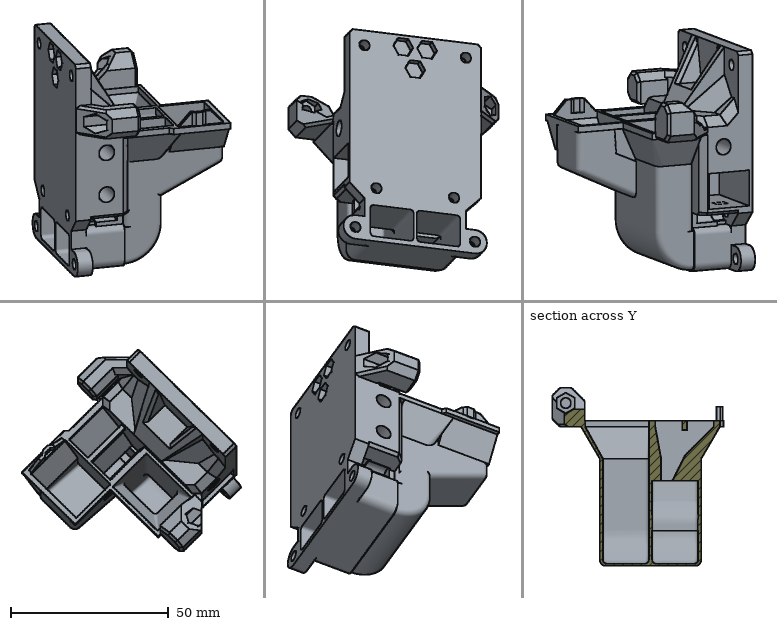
import cadquery as cq
import math

PLATE_HALF_WIDTH = 22.05
PLATE_HEIGHT = 71.0
PLATE_THICKNESS = 5.0
PLATE_CORNER_CHAMFER = 1.1
NECK_HALF_WIDTH = 17.0
NECK_TOP_Z = 14.1
SHOULDER_Z = 19.0
EAR_RADIUS = 4.0
EAR_CENTRE_X = 20.05
PLATE_HOLE_DIAMETER = 3.4
UPPER_HOLE_X, UPPER_HOLE_Z = 17.0, 66.0
LOWER_HOLE_X, LOWER_HOLE_Z = 13.0, 18.05

NUT_ACROSS_FLATS = 5.7
NUT_CORNER_DIAMETER = NUT_ACROSS_FLATS / math.cos(math.pi / 6)
NUT_POCKET_DEPTH = 2.5
NUT_POCKET_SITES = [(-4.0, 67.05), (4.0, 67.05), (0.0, 60.0)]

BOX_BACK_Y = 17.85
BOX_TOP_Z = 50.65
BOX_SIDE_CHAMFER = 3.1
BOX_BACK_CHAMFER = 2.1
BOX_FOOT_CHAMFER = 1.0
RAMP_LENGTH = 5.0
RAMP_SIDE_DROP = 4.2
ROD_HOLE_DIAMETER = 5.1
ROD_HOLE_Y = 10.2
ROD_HOLE_Z = (26.9, 40.85)
SIDE_POCKET_Y = (1.2, 15.25)
SIDE_POCKET_Z = (21.1, 32.6)
SIDE_POCKET_DEPTH = 22.0

GUSSET_BACK_HALF_WIDTH = 6.2
GUSSET_FRONT_HALF_WIDTH = 11.9
FLANK_TOP_Z = 62.05
FLANK_FOOT_HALF_WIDTH = 21.1
FLANK_BACK_HALF_WIDTH, FLANK_BACK_Y = 6.7, 16.7
RECESS_FLOOR_Z = 56.9
RECESS_HALF_WIDTH = 5.0
RECESS_SIDE_LEAN = 2.6
RECESS_RIM_Z = 69.0
RECESS_BACK_Y = 13.9
RECESS_BACK_HALF_WIDTH = 6.05
RECESS_CORNER_Y = 12.6
RECESS_FRONT_HALF_WIDTH = 9.0

FOOT_TOP_FILLET = 2.05
FOOT_BOTTOM_FILLET = 3.0
WAIST_HALF_WIDTH = NECK_HALF_WIDTH - FOOT_TOP_FILLET
NUT_SLOT_BACK_Y = 9.0
SCREW_BORE_BACK_Y = 16.0
SCREW_BORE_DIAMETER = 5.1

CHUTE_INNER_X = 0.55
CHUTE_OUTER_X = 15.05
CHUTE_DEPTH = 10.6
CHUTE_WALL = 1.1
CHUTE_CORNER = 1.2
CHUTE_SHELL_CORNER = 2.0
BEND_Y = 18.9
BEND_Z = 12.2
CHUTE_TOP_Z = 35.0

RIM_BOTTOM_Z, RIM_TOP_Z = 45.1, 47.1
FUNNEL_BACK_Y = 35.2
FUNNEL_HALF_WIDTH = PLATE_HALF_WIDTH
FUNNEL_WALL_X = 1.4
FUNNEL_TOP_CORNER = 0.2
FUNNEL_MOUTH_BACK_Y = 34.0

FEED_X = (1.55, 20.0)
FEED_BACK_Y = 33.0
FEED_THROAT_X = (3.4, 6.9)
FEED_THROAT_Z = 28.0
FEED_KNEE_X, FEED_KNEE_Z = 10.9, 36.0
FEED_RIB_X = (10.0, 11.6)
FEED_RIB_DEPTH = 3.0

HOPPER_LEFT_X, HOPPER_RIGHT_X = -0.65, 23.15
HOPPER_BACK_Y = 51.0
HOPPER_BACK_WALL = 1.7
HOPPER_MOUTH_X = (0.55, 20.85)
HOPPER_LIP_Y = 26.2
HOPPER_LIP_RADIUS = 7.8
HOPPER_FLOOR_BACK_Z = 31.9
HOPPER_FLOOR_SLOPE = 0.472
HOPPER_FLOOR_LIFT = 1.3
HOPPER_CORNER = 2.0
HOPPER_SIDE_FOOT_Z = 37.0
HOPPER_RIM_LEAD_Y = 31.0
HOPPER_RELIEF_FRONT_Y, HOPPER_RELIEF_FRONT_Z = 30.6, 34.2
HOPPER_RELIEF_BACK_Y, HOPPER_RELIEF_BACK_Z = 37.6, 37.3
HOPPER_RELIEF_TOP_Y = 38.1
HOPPER_RELIEF_DEPTH = 0.5

TAB_FOOT_Y = (34.3, 49.0)
TAB_TOP_Y = (38.45, 44.75)
TAB_TOP_Z = 51.55
GROOVE_MOUTH_Y = (38.6, 43.1)
GROOVE_FLOOR_Y = (39.7, 41.9)
GROOVE_DEPTH = 0.85
TAB_THICKNESS = 1.2

ARM_TIP_X = 31.15
ARM_TOP_Z = 57.5
ARM_CHAMFER = 2.5
ARM_END_CHAMFER = 0.9
ARM_HOLE_X, ARM_HOLE_Z = 26.85, 52.65
ARM_HOLE_DIAMETER = 3.3
ARM_END_WALL = 2.0
ARM_NUT_TURN = 30
LEFT_ARM_BACK_Y = 34.0
LEFT_ARM_ROOT_X = 20.8
LEFT_ARM_CORNER_Y = 24.8
LEFT_ARM_SLOPE_TOP_Y = 27.9
LEFT_ARM_NUT_FLOOR_Y = 28.0
RIGHT_ARM_BACK_Y = 18.8
RIGHT_ARM_BOTTOM_Z = 47.8
RIGHT_ARM_INNER_X = 22.6
RIGHT_ARM_CORNER_Y = 9.2
RIGHT_ARM_ROOT_X = 19.3
RIGHT_ARM_NUT_FLOOR_Y = 12.0
LINK_CHAMFER = 1.8


def box(x_range, y_range, z_range):
    """Axis-aligned block between pairs of limits."""
    size = [high - low for low, high in (x_range, y_range, z_range)]
    corner = (x_range[0], y_range[0], z_range[0])
    return cq.Workplane("XY").box(*size, centered=False).translate(corner)


def extrude_xz(points, y_start, y_end):
    """Extrude an (x, z) outline along Y."""
    return cq.Workplane("XZ", origin=(0, y_start, 0)).polyline(points).close().extrude(y_start - y_end)


def extrude_yz(points, x_start, x_end):
    """Extrude a (y, z) outline along X."""
    return cq.Workplane("YZ", origin=(x_start, 0, 0)).polyline(points).close().extrude(x_end - x_start)


def extrude_xy(points, z_start, z_end):
    """Extrude an (x, y) outline along Z."""
    return cq.Workplane("XY", origin=(0, 0, z_start)).polyline(points).close().extrude(z_end - z_start)


def rod_along_y(x, z, diameter, y_start, y_end):
    return cq.Workplane("XZ", origin=(x, y_start, z)).circle(diameter / 2).extrude(y_start - y_end)


def hexagon_along_y(x, z, y_start, y_end, turn=0):
    """Hexagonal nut shape with corners to the sides, rolled by turn degrees."""
    prism = cq.Workplane("XZ", origin=(x, y_start, z)).polygon(6, NUT_CORNER_DIAMETER)
    return prism.extrude(y_start - y_end).rotate((x, 0, z), (x, 1, z), turn)


def polyhedron(faces):
    """Solid bounded by flat faces, each given by its corner points."""
    skins = []
    for corners in faces:
        wire = cq.Wire.makePolygon([cq.Vector(*c) for c in corners], close=True)
        skins.append(cq.Face.makeFromWires(wire))
    return cq.Workplane(cq.Solid.makeSolid(cq.Shell.makeShell(skins)))


def ruled_between(first, second):
    """Straight-sided solid between two outlines of matching 3D points."""
    wires = []
    for outline in (first, second):
        wires.append(cq.Wire.makePolygon([cq.Vector(*p) for p in outline], close=True))
    return cq.Workplane(cq.Solid.makeLoft(wires, True))


def mirrored(points):
    """Complete a left-to-right outline that is symmetric about x = 0."""
    return points + [(-x, z) for x, z in reversed(points)]


def make_plate():
    half = PLATE_HALF_WIDTH
    outline = mirrored([
        (-NECK_HALF_WIDTH, 0),
        (-NECK_HALF_WIDTH, NECK_TOP_Z),
        (-half, SHOULDER_Z),
        (-half, PLATE_HEIGHT - PLATE_CORNER_CHAMFER),
        (-half + PLATE_CORNER_CHAMFER, PLATE_HEIGHT),
    ])
    plate = extrude_xz(outline, 0, PLATE_THICKNESS)
    ear_span = (-EAR_CENTRE_X, EAR_CENTRE_X)
    plate = plate.union(box(ear_span, (0, PLATE_THICKNESS), (0, 2 * EAR_RADIUS)))
    for x in ear_span:
        plate = plate.union(rod_along_y(x, EAR_RADIUS, 2 * EAR_RADIUS, 0, PLATE_THICKNESS))
    return plate


def make_main_box():
    half = PLATE_HALF_WIDTH

    def plan(inset, z):
        """Outline with bevelled back corners, its sides pulled in by inset."""
        outline = mirrored([
            (-half + inset, PLATE_THICKNESS),
            (-half + inset, BOX_BACK_Y - BOX_BACK_CHAMFER),
            (-half + inset + BOX_BACK_CHAMFER, BOX_BACK_Y),
        ])
        return [(x, y, z) for x, y in outline]

    sill = SHOULDER_Z + BOX_FOOT_CHAMFER
    eave = BOX_TOP_Z - BOX_SIDE_CHAMFER
    foot = ruled_between(plan(BOX_FOOT_CHAMFER, SHOULDER_Z), plan(0, sill))
    walls = ruled_between(plan(0, sill), plan(0, eave))
    cap = ruled_between(plan(0, eave), plan(BOX_SIDE_CHAMFER, BOX_TOP_Z))
    return foot.union(walls).union(cap)


def make_ramp():
    """45 degree slope from the box top up to the plate, with bevelled sides."""
    def section(y, top):
        points = mirrored([
            (-PLATE_HALF_WIDTH, SHOULDER_Z + BOX_FOOT_CHAMFER),
            (-PLATE_HALF_WIDTH, top - RAMP_SIDE_DROP),
            (-PLATE_HALF_WIDTH + BOX_SIDE_CHAMFER, top),
        ])
        return [(x, y, z) for x, z in points]

    front = section(PLATE_THICKNESS, BOX_TOP_Z + RAMP_LENGTH)
    back = section(PLATE_THICKNESS + RAMP_LENGTH, BOX_TOP_Z)
    return ruled_between(front, back)


def make_gusset_flank(side):
    """Tetrahedral buttress with its sloping face beside the gusset."""
    top = (side * GUSSET_FRONT_HALF_WIDTH, PLATE_THICKNESS, FLANK_TOP_Z)
    outer = (side * FLANK_FOOT_HALF_WIDTH, PLATE_THICKNESS, BOX_TOP_Z)
    inner = (0, PLATE_THICKNESS, BOX_TOP_Z)
    back = (side * FLANK_BACK_HALF_WIDTH, FLANK_BACK_Y, BOX_TOP_Z)
    return polyhedron([
        (top, outer, inner), (top, outer, back), (top, inner, back), (outer, inner, back),
    ])


def make_gusset_recess():
    """Flat-floored pocket with leaning sides and bevelled rims, open at the gusset slope."""
    floor = [
        (-RECESS_HALF_WIDTH, PLATE_THICKNESS),
        (-RECESS_HALF_WIDTH, RECESS_CORNER_Y),
        (-RECESS_BACK_HALF_WIDTH, RECESS_BACK_Y),
    ]
    rim = [
        (-RECESS_HALF_WIDTH - RECESS_SIDE_LEAN, PLATE_THICKNESS),
        (-RECESS_HALF_WIDTH - RECESS_SIDE_LEAN, RECESS_CORNER_Y),
        (-RECESS_BACK_HALF_WIDTH - RECESS_SIDE_LEAN, RECESS_BACK_Y),
    ]
    pocket = ruled_between(
        [(x, y, RECESS_FLOOR_Z) for x, y in mirrored(floor)],
        [(x, y, RECESS_RIM_Z) for x, y in mirrored(rim)],
    )
    rim_half = RECESS_HALF_WIDTH + RECESS_SIDE_LEAN
    crest = box(
        (-rim_half, rim_half), (PLATE_THICKNESS, RECESS_BACK_Y), (RECESS_RIM_Z, PLATE_HEIGHT)
    )
    pocket = pocket.union(crest)
    for side in (-1, 1):
        foot = (side * RECESS_BACK_HALF_WIDTH, RECESS_BACK_Y, RECESS_FLOOR_Z)
        corner = (side * RECESS_HALF_WIDTH, RECESS_CORNER_Y, RECESS_FLOOR_Z)
        outer = (side * RECESS_FRONT_HALF_WIDTH, PLATE_THICKNESS, PLATE_HEIGHT)
        inner = (side * rim_half, PLATE_THICKNESS, RECESS_RIM_Z)
        above = (0, RECESS_CORNER_Y, PLATE_HEIGHT)
        bevel = polyhedron([
            (foot, corner, inner), (foot, inner, outer), (foot, corner, above),
            (corner, inner, above), (inner, outer, above), (outer, foot, above),
        ])
        pocket = pocket.union(bevel)
    return pocket


def make_gusset():
    profile = [
        (PLATE_THICKNESS, BOX_TOP_Z), (BOX_BACK_Y, BOX_TOP_Z), (PLATE_THICKNESS, PLATE_HEIGHT),
    ]
    plan = mirrored([
        (-GUSSET_FRONT_HALF_WIDTH, PLATE_THICKNESS),
        (-GUSSET_BACK_HALF_WIDTH, BOX_BACK_Y),
    ])
    gusset = extrude_yz(profile, -PLATE_HALF_WIDTH, PLATE_HALF_WIDTH)
    gusset = gusset.intersect(extrude_xy(plan, BOX_TOP_Z, PLATE_HEIGHT))
    for side in (-1, 1):
        gusset = gusset.union(make_gusset_flank(side))
    return gusset.cut(make_gusset_recess())


def make_foot():
    half = NECK_HALF_WIDTH
    foot = box((-half, half), (PLATE_THICKNESS, BOX_BACK_Y), (0, NECK_TOP_Z))
    foot = foot.edges("|Y and >Z").fillet(FOOT_TOP_FILLET)
    foot = foot.edges("|Y and <Z").fillet(FOOT_BOTTOM_FILLET)
    waist = box(
        (-WAIST_HALF_WIDTH, WAIST_HALF_WIDTH), (PLATE_THICKNESS, BOX_BACK_Y), (NECK_TOP_Z, SHOULDER_Z)
    )
    return foot.union(waist)


def make_lower_screw_space(side):
    """Nut pocket and screw bore behind a lower plate hole, open to the side of the waist."""
    x, z = side * LOWER_HOLE_X, LOWER_HOLE_Z
    nut_y = (PLATE_THICKNESS, NUT_SLOT_BACK_Y)
    bore_y = (NUT_SLOT_BACK_Y, SCREW_BORE_BACK_Y)
    outside = sorted((x, side * WAIST_HALF_WIDTH))
    space = hexagon_along_y(x, z, *nut_y)
    space = space.union(box(outside, nut_y, (NECK_TOP_Z, SHOULDER_Z)))
    space = space.union(rod_along_y(x, z, SCREW_BORE_DIAMETER, *bore_y))
    return space.union(box(outside, bore_y, (z - SCREW_BORE_DIAMETER / 2, SHOULDER_Z)))


def make_chute_bend(x_range, wall, corner):
    """Horizontal run through the plate and foot, ending in an upward quarter bend."""
    x_low, x_high = x_range[0] - wall, x_range[1] + wall
    depth = CHUTE_DEPTH + 2 * wall
    front_y = PLATE_THICKNESS if wall else 0
    run = box((x_low, x_high), (front_y, BEND_Y - wall), (BEND_Z + wall - depth, BEND_Z + wall))
    run = run.edges("|Y").fillet(corner)
    bend = cq.Workplane("XY", origin=(x_low, BEND_Y - wall, BEND_Z + wall))
    bend = bend.rect(x_high - x_low, depth, centered=False).revolve(90, (0, 0, 0), (-1, 0, 0))
    bend = bend.faces("not (<X or >X or <Y or >Z)").edges("%CIRCLE").fillet(corner)
    return run.union(bend)


def make_riser(x_range, wall, corner):
    """Vertical run from the bend up to the funnel."""
    y_range = (BEND_Y - wall, BEND_Y + CHUTE_DEPTH + wall)
    riser = box((x_range[0] - wall, x_range[1] + wall), y_range, (BEND_Z + wall, CHUTE_TOP_Z))
    return riser.edges("|Z").fillet(corner)


LEFT_CHUTE_X = (-CHUTE_OUTER_X, -CHUTE_INNER_X)
RIGHT_CHUTE_X = (CHUTE_INNER_X, CHUTE_OUTER_X)


def rounded_outline(x_range, y_range, z, corner):
    """Closed wire of a rectangle with rounded corners."""
    slab = box(x_range, y_range, (z, z + 1)).edges("|Z").fillet(corner)
    return slab.faces("<Z").wires().val()


def funnel(top_x, top_y, bottom_x, bottom_y, bottom_corner):
    """Tapered solid from the rounded chute top to the nearly sharp rim."""
    bottom = rounded_outline(bottom_x, bottom_y, CHUTE_TOP_Z, bottom_corner)
    top = rounded_outline(top_x, top_y, RIM_BOTTOM_Z, FUNNEL_TOP_CORNER)
    return cq.Workplane(cq.Solid.makeLoft([bottom, top], True))


def make_funnel_shell():
    chute_half = CHUTE_OUTER_X + CHUTE_WALL
    chute_y = (BEND_Y - CHUTE_WALL, BEND_Y + CHUTE_DEPTH + CHUTE_WALL)
    span = (-FUNNEL_HALF_WIDTH, FUNNEL_HALF_WIDTH)
    taper_y = (BEND_Y - CHUTE_WALL, FUNNEL_BACK_Y)
    shell = funnel(span, taper_y, (-chute_half, chute_half), chute_y, CHUTE_SHELL_CORNER)
    rim_y = (BOX_BACK_Y - BOX_BACK_CHAMFER, FUNNEL_BACK_Y)
    return shell.union(box(span, rim_y, (RIM_BOTTOM_Z, RIM_TOP_Z)))


def make_left_funnel_mouth():
    mouth_x = (-FUNNEL_HALF_WIDTH + FUNNEL_WALL_X, -CHUTE_INNER_X)
    mouth_y = (BEND_Y, FUNNEL_MOUTH_BACK_Y)
    taper = funnel(mouth_x, mouth_y, LEFT_CHUTE_X, (BEND_Y, BEND_Y + CHUTE_DEPTH), CHUTE_CORNER)
    return taper.union(box(mouth_x, mouth_y, (RIM_BOTTOM_Z, PLATE_HEIGHT)))


def make_feed_slot():
    outline = [
        (FEED_X[0], RIM_TOP_Z),
        (FEED_X[0], RIM_BOTTOM_Z),
        (FEED_THROAT_X[0], CHUTE_TOP_Z),
        (FEED_THROAT_X[0], FEED_THROAT_Z),
        (FEED_THROAT_X[1], FEED_THROAT_Z),
        (FEED_KNEE_X, FEED_KNEE_Z),
        (FEED_X[1], RIM_BOTTOM_Z),
        (FEED_X[1], RIM_TOP_Z),
    ]
    slot = extrude_xz(outline, BOX_BACK_Y, FEED_BACK_Y)
    rib = box(FEED_RIB_X, (BOX_BACK_Y, FEED_BACK_Y), (RIM_TOP_Z - FEED_RIB_DEPTH, RIM_TOP_Z))
    return slot.cut(rib)


def hopper_floor_z(y):
    return HOPPER_FLOOR_BACK_Z - HOPPER_FLOOR_SLOPE * (HOPPER_BACK_Y - y)


def make_hopper_relief():
    """Shallow hollow in the hopper's left wall where the left funnel passes."""
    outline = [
        (HOPPER_RELIEF_FRONT_Y, RIM_BOTTOM_Z),
        (HOPPER_RELIEF_FRONT_Y, HOPPER_RELIEF_FRONT_Z),
        (HOPPER_RELIEF_BACK_Y, HOPPER_RELIEF_BACK_Z),
        (HOPPER_RELIEF_TOP_Y, RIM_BOTTOM_Z),
    ]
    return extrude_yz(outline, -CHUTE_INNER_X, -CHUTE_INNER_X + HOPPER_RELIEF_DEPTH)


def make_hopper_shell():
    wall = CHUTE_WALL
    side = [
        (BEND_Y, RIM_BOTTOM_Z),
        (BEND_Y, hopper_floor_z(BEND_Y)),
        (HOPPER_BACK_Y, hopper_floor_z(HOPPER_BACK_Y)),
        (HOPPER_BACK_Y, RIM_BOTTOM_Z),
    ]
    duct = extrude_yz(side, -CHUTE_INNER_X, CHUTE_OUTER_X + wall)
    duct = round_hopper_floor(duct, HOPPER_CORNER).cut(make_hopper_relief())
    flare = extrude_xz([
        (CHUTE_OUTER_X, HOPPER_SIDE_FOOT_Z),
        (CHUTE_OUTER_X + wall, HOPPER_SIDE_FOOT_Z),
        (HOPPER_MOUTH_X[1] + wall, RIM_BOTTOM_Z),
        (CHUTE_OUTER_X, RIM_BOTTOM_Z),
    ], FUNNEL_MOUTH_BACK_Y - wall, HOPPER_BACK_Y)
    lead = HOPPER_RIGHT_X - PLATE_HALF_WIDTH
    rim = extrude_xy([
        (HOPPER_LEFT_X, HOPPER_BACK_Y),
        (HOPPER_LEFT_X, HOPPER_RIM_LEAD_Y),
        (PLATE_HALF_WIDTH, HOPPER_RIM_LEAD_Y),
        (HOPPER_RIGHT_X, HOPPER_RIM_LEAD_Y + lead),
        (HOPPER_RIGHT_X, HOPPER_BACK_Y),
    ], RIM_BOTTOM_Z, RIM_TOP_Z)
    return duct.union(flare).union(rim)


def round_hopper_floor(duct, radius):
    """Fillet the sloping bottom edges and the back corners of a hopper block."""
    return duct.faces(">Y or <(0,-1,2)").edges("not (>Z or <Y)").fillet(radius)


def make_hopper_mouth():
    back_y = HOPPER_BACK_Y - HOPPER_BACK_WALL
    lift = HOPPER_FLOOR_LIFT
    floor_angle = math.atan(HOPPER_FLOOR_SLOPE)
    lip_start_z = hopper_floor_z(HOPPER_LIP_Y) + lift

    def lip_point(angle):
        """Point on the rounded floor lip, measured round from the vertical."""
        y = HOPPER_LIP_Y + HOPPER_LIP_RADIUS * (math.sin(floor_angle) - math.sin(angle))
        z = lip_start_z + HOPPER_LIP_RADIUS * (math.cos(angle) - math.cos(floor_angle))
        return y, z

    lip_end = lip_point(math.pi / 2)
    lip_middle = lip_point((math.pi / 2 + floor_angle) / 2)
    duct = (
        cq.Workplane("YZ", origin=(RIGHT_CHUTE_X[0], 0, 0))
        .moveTo(BEND_Y, RIM_BOTTOM_Z)
        .lineTo(BEND_Y, BEND_Z)
        .lineTo(lip_end[0], BEND_Z)
        .lineTo(*lip_end)
        .threePointArc(lip_middle, (HOPPER_LIP_Y, lip_start_z))
        .lineTo(back_y, hopper_floor_z(back_y) + lift)
        .lineTo(back_y, RIM_BOTTOM_Z)
        .close()
        .extrude(RIGHT_CHUTE_X[1] - RIGHT_CHUTE_X[0])
    )
    duct = duct.edges("<X or >X").edges("not (>Z or <Y or <Z)").fillet(CHUTE_CORNER)
    duct = duct.cut(box(RIGHT_CHUTE_X, (BEND_Y, FUNNEL_MOUTH_BACK_Y), (FEED_THROAT_Z, RIM_TOP_Z)))
    flare = extrude_xz([
        (RIGHT_CHUTE_X[0], HOPPER_SIDE_FOOT_Z),
        (RIGHT_CHUTE_X[1], HOPPER_SIDE_FOOT_Z),
        (HOPPER_MOUTH_X[1], RIM_BOTTOM_Z),
        (RIGHT_CHUTE_X[0], RIM_BOTTOM_Z),
    ], FUNNEL_MOUTH_BACK_Y, back_y)
    rim = box(HOPPER_MOUTH_X, (FUNNEL_MOUTH_BACK_Y, back_y), (RIM_BOTTOM_Z, RIM_TOP_Z))
    return duct.union(flare).union(rim)


def make_tab():
    """Trapezoidal tab on the hopper rim, its middle stepped outwards into a groove."""
    profile = extrude_yz([
        (TAB_FOOT_Y[0], RIM_TOP_Z), (TAB_TOP_Y[0], TAB_TOP_Z),
        (TAB_TOP_Y[1], TAB_TOP_Z), (TAB_FOOT_Y[1], RIM_TOP_Z),
    ], HOPPER_MOUTH_X[1], HOPPER_RIGHT_X)

    def face_line(x):
        return [
            (x, TAB_FOOT_Y[0]), (x, GROOVE_MOUTH_Y[0]),
            (x + GROOVE_DEPTH, GROOVE_FLOOR_Y[0]), (x + GROOVE_DEPTH, GROOVE_FLOOR_Y[1]),
            (x, GROOVE_MOUTH_Y[1]), (x, TAB_FOOT_Y[1]),
        ]

    inner = face_line(HOPPER_MOUTH_X[1])
    outer = face_line(HOPPER_MOUTH_X[1] + TAB_THICKNESS)
    return profile.intersect(extrude_xy(inner + outer[::-1], RIM_TOP_Z, TAB_TOP_Z))


def make_left_arm():
    tip, root = -ARM_TIP_X, -LEFT_ARM_ROOT_X
    slope_start = -ARM_HOLE_X + (ARM_TIP_X - ARM_CHAMFER - ARM_HOLE_X)
    section = extrude_xz([
        (root, RIM_BOTTOM_Z),
        (tip + ARM_CHAMFER, RIM_BOTTOM_Z),
        (tip, RIM_BOTTOM_Z + ARM_CHAMFER),
        (tip, ARM_TOP_Z - ARM_CHAMFER),
        (tip + ARM_CHAMFER, ARM_TOP_Z),
        (slope_start, ARM_TOP_Z),
        (root, ARM_TOP_Z - (root - slope_start)),
    ], BOX_BACK_Y - BOX_BACK_CHAMFER, LEFT_ARM_BACK_Y)
    arm = section.faces(">Y").chamfer(ARM_END_CHAMFER)
    front_y = LEFT_ARM_CORNER_Y - (root - tip)
    plan = extrude_xy([
        (tip, LEFT_ARM_BACK_Y), (tip, LEFT_ARM_CORNER_Y), (root, front_y), (root, LEFT_ARM_BACK_Y),
    ], RIM_BOTTOM_Z, ARM_TOP_Z)
    slope_foot_y = LEFT_ARM_SLOPE_TOP_Y - (ARM_TOP_Z - RIM_TOP_Z)
    profile = extrude_yz([
        (LEFT_ARM_BACK_Y, RIM_BOTTOM_Z), (front_y, RIM_BOTTOM_Z), (front_y, RIM_TOP_Z),
        (slope_foot_y, RIM_TOP_Z), (LEFT_ARM_SLOPE_TOP_Y, ARM_TOP_Z), (LEFT_ARM_BACK_Y, ARM_TOP_Z),
    ], tip, root)
    arm = arm.intersect(plan)
    arm = arm.faces("<(1,1,0)").edges("<Z").chamfer(ARM_END_CHAMFER)
    return arm.intersect(profile)


def make_right_arm():
    tip, inner = ARM_TIP_X, RIGHT_ARM_INNER_X
    bottom = RIGHT_ARM_BOTTOM_Z
    end = extrude_xz([
        (inner, bottom),
        (tip - ARM_CHAMFER, bottom),
        (tip, bottom + ARM_CHAMFER),
        (tip, ARM_TOP_Z - ARM_CHAMFER),
        (tip - ARM_CHAMFER, ARM_TOP_Z),
        (inner + ARM_CHAMFER, ARM_TOP_Z),
        (inner, ARM_TOP_Z - ARM_CHAMFER),
    ], 0, RIGHT_ARM_BACK_Y).faces(">Y").chamfer(ARM_END_CHAMFER)
    front_y = RIGHT_ARM_CORNER_Y - (tip - PLATE_HALF_WIDTH)
    link_back_y = PLATE_THICKNESS + (tip - RIGHT_ARM_ROOT_X)
    link = extrude_xy([
        (RIGHT_ARM_ROOT_X, PLATE_THICKNESS),
        (PLATE_HALF_WIDTH, front_y),
        (tip, RIGHT_ARM_CORNER_Y),
        (tip, link_back_y),
    ], bottom, ARM_TOP_Z)
    link = link.faces("<(1,-1,0)").edges(">Z").chamfer(LINK_CHAMFER)
    plan = extrude_xy([
        (PLATE_HALF_WIDTH, front_y), (tip, RIGHT_ARM_CORNER_Y), (tip, RIGHT_ARM_BACK_Y),
        (RIGHT_ARM_ROOT_X, RIGHT_ARM_BACK_Y), (RIGHT_ARM_ROOT_X, PLATE_THICKNESS),
    ], bottom, ARM_TOP_Z)
    rounding = extrude_xz([
        (0, bottom), (tip - ARM_CHAMFER, bottom), (tip, bottom + ARM_CHAMFER),
        (tip, ARM_TOP_Z - ARM_CHAMFER), (tip - ARM_CHAMFER, ARM_TOP_Z), (0, ARM_TOP_Z),
    ], 0, RIGHT_ARM_BACK_Y)
    arm = end.intersect(plan).union(link.intersect(rounding))
    return arm.faces(">(1,-1,0)").edges("|(1,1,0)").chamfer(ARM_END_CHAMFER)


def cut_plate_holes(body):
    sites = []
    for side in (-1, 1):
        sites.append((side * UPPER_HOLE_X, UPPER_HOLE_Z))
        sites.append((side * LOWER_HOLE_X, LOWER_HOLE_Z))
        sites.append((side * EAR_CENTRE_X, EAR_RADIUS))
    for x, z in sites:
        body = body.cut(rod_along_y(x, z, PLATE_HOLE_DIAMETER, 0, PLATE_THICKNESS))
    for x, z in NUT_POCKET_SITES:
        body = body.cut(hexagon_along_y(x, z, 0, NUT_POCKET_DEPTH))
    return body


def cut_box_openings(body):
    half = PLATE_HALF_WIDTH
    for z in ROD_HOLE_Z:
        bore = cq.Workplane("YZ", origin=(-half, ROD_HOLE_Y, z)).circle(ROD_HOLE_DIAMETER / 2)
        body = body.cut(bore.extrude(2 * half))
    return body.cut(box((-half, -half + SIDE_POCKET_DEPTH), SIDE_POCKET_Y, SIDE_POCKET_Z))


def cut_arm_fixing(body, side, nut_floor_y, hole_end_y):
    x = side * ARM_HOLE_X
    body = body.cut(hexagon_along_y(x, ARM_HOLE_Z, 0, nut_floor_y, ARM_NUT_TURN))
    return body.cut(rod_along_y(x, ARM_HOLE_Z, ARM_HOLE_DIAMETER, nut_floor_y, hole_end_y))


result = make_plate().union(make_main_box()).union(make_ramp()).union(make_gusset())
result = result.union(make_foot())
shell_x = (LEFT_CHUTE_X[0], RIGHT_CHUTE_X[1])
for make_part in (make_chute_bend, make_riser):
    result = result.union(make_part(shell_x, CHUTE_WALL, CHUTE_SHELL_CORNER))
result = result.union(make_funnel_shell()).union(make_hopper_shell()).union(make_left_arm())

for chute_x in (LEFT_CHUTE_X, RIGHT_CHUTE_X):
    result = result.cut(make_chute_bend(chute_x, 0, CHUTE_CORNER))
result = result.cut(make_riser(LEFT_CHUTE_X, 0, CHUTE_CORNER)).cut(make_left_funnel_mouth())
result = result.cut(make_hopper_mouth()).cut(make_feed_slot())
for side in (-1, 1):
    result = result.cut(make_lower_screw_space(side))

left_hole_end_y = LEFT_ARM_BACK_Y - ARM_END_WALL
right_hole_end_y = RIGHT_ARM_BACK_Y - ARM_END_WALL
right_arm = cut_arm_fixing(make_right_arm(), 1, RIGHT_ARM_NUT_FLOOR_Y, right_hole_end_y)
result = cut_arm_fixing(result, -1, LEFT_ARM_NUT_FLOOR_Y, left_hole_end_y)
result = result.union(right_arm).union(make_tab())
result = cut_box_openings(cut_plate_holes(result))